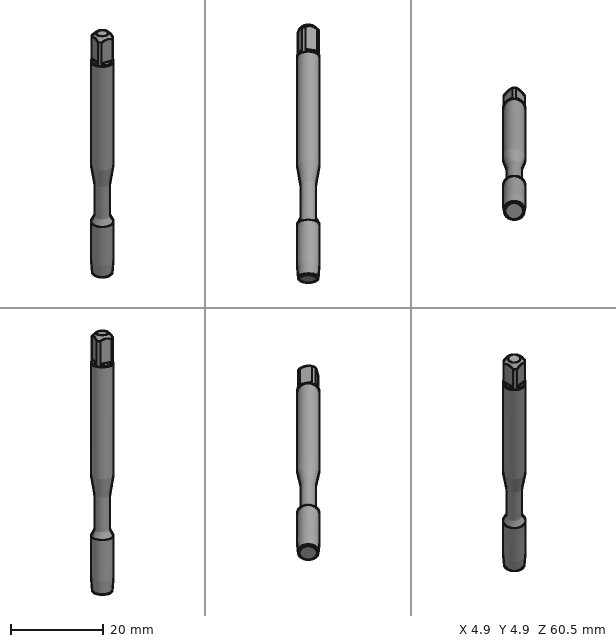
import cadquery as cq
import math

overall_length = 60.5

thread_length = 13.05
thread_radius = 4.9 / 2
lead_length = 3.2
lead_tip_radius = 2.25
tip_chamfer = 0.3

shank_radius = 4.9 / 2
neck_radius = 3.45 / 2
shoulder_angle = 27.0
taper_angle = 9.0
taper_top_z = 27.2
neck_blend_radius = 0.7
shank_end_z = 53.55

drive_radius = 4.7 / 2
drive_width = 3.9
flat_bottom_z = 54.2
ramp_slope = 1.2
drive_chamfer = 1.0


def make_cutting_head():
    """Plain cylinder standing for the thread, with a tapered lead and a chamfered tip."""
    profile = (
        cq.Workplane("XZ")
        .lineTo(lead_tip_radius - tip_chamfer, 0)
        .lineTo(lead_tip_radius, tip_chamfer)
        .lineTo(thread_radius, lead_length)
        .lineTo(thread_radius, thread_length)
        .lineTo(0, thread_length)
        .close()
    )
    return profile.revolve(360, (0, 0, 0), (0, 1, 0))


def make_blend(angle):
    """Axial and radial offsets of an arc's middle and end, tangent to the neck and turning by angle."""
    offsets = []
    for turn in (math.radians(angle / 2), math.radians(angle)):
        axial = neck_blend_radius * math.sin(turn)
        radial = neck_blend_radius * (1 - math.cos(turn))
        offsets.append((axial, radial))
    return offsets


def make_turned_shank():
    """Shoulder cone, blended neck, taper, shank and round drive blank in one revolve."""
    (low_mid_dz, low_mid_dr), (low_dz, low_dr) = make_blend(shoulder_angle)
    (high_mid_dz, high_mid_dr), (high_dz, high_dr) = make_blend(taper_angle)

    low_rise = shank_radius - neck_radius - low_dr
    low_cone_z = thread_length + low_rise / math.tan(math.radians(shoulder_angle))
    neck_bottom_z = low_cone_z + low_dz

    high_rise = shank_radius - neck_radius - high_dr
    high_cone_z = taper_top_z - high_rise / math.tan(math.radians(taper_angle))
    neck_top_z = high_cone_z - high_dz

    edge_chamfer = shank_radius - drive_radius
    profile = (
        cq.Workplane("XZ")
        .moveTo(0, thread_length)
        .lineTo(shank_radius, thread_length)
        .lineTo(neck_radius + low_dr, low_cone_z)
        .threePointArc(
            (neck_radius + low_mid_dr, neck_bottom_z - low_mid_dz),
            (neck_radius, neck_bottom_z),
        )
        .lineTo(neck_radius, neck_top_z)
        .threePointArc(
            (neck_radius + high_mid_dr, neck_top_z + high_mid_dz),
            (neck_radius + high_dr, high_cone_z),
        )
        .lineTo(shank_radius, taper_top_z)
        .lineTo(shank_radius, shank_end_z - edge_chamfer)
        .lineTo(drive_radius, shank_end_z)
        .lineTo(drive_radius, overall_length - drive_chamfer)
        .lineTo(drive_radius - drive_chamfer, overall_length)
        .lineTo(0, overall_length)
        .close()
    )
    return profile.revolve(360, (0, 0, 0), (0, 1, 0))


def make_flat_cutter():
    """Prism on the +X side that mills one flat and its sloping run-out."""
    flat_x = drive_width / 2
    reach = 2 * (shank_radius - flat_x)
    return (
        cq.Workplane("XZ")
        .moveTo(flat_x, overall_length)
        .lineTo(flat_x, flat_bottom_z)
        .lineTo(flat_x + reach, flat_bottom_z - ramp_slope * reach)
        .lineTo(flat_x + reach, overall_length)
        .close()
        .extrude(shank_radius, both=True)
    )


def make_shank():
    shank = make_turned_shank()
    for side in range(4):
        shank = shank.cut(make_flat_cutter().rotate((0, 0, 0), (0, 0, 1), 90 * side))
    return shank


cutting_head = make_cutting_head()
shank = make_shank()
result = cq.Compound.makeCompound([cutting_head.val(), *shank.vals()])